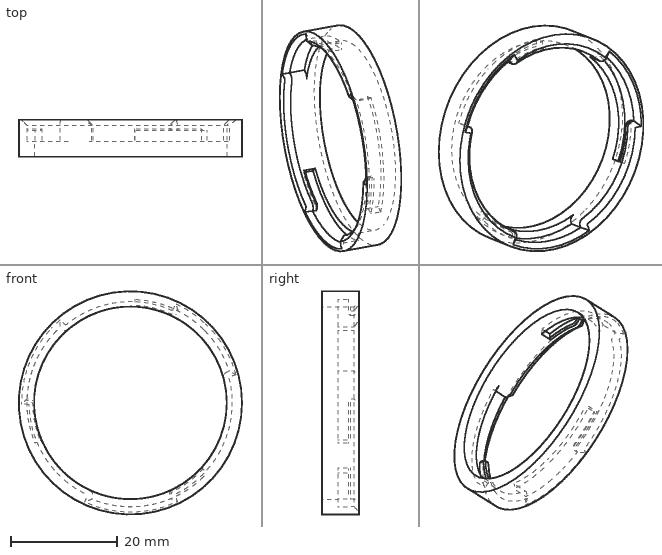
import cadquery as cq
import math

outer_diameter = 42.0
bore_diameter = 36.2
ring_width = 7.0
rear_chamfer = 1.0

pocket_depth = 1.4
front_lip_width = 3.0
groove_width = 2.0
corner_radius = 1.05
lug_edge_chamfer = 0.3
entry_angle = 44.8
lug_angle = 24.9
first_pocket_angle = -112.1
second_pocket_angle = 17.9
third_pocket_angle = (second_pocket_angle + first_pocket_angle + 360.0) / 2
pocket_start_angles = [first_pocket_angle, second_pocket_angle, third_pocket_angle]

outer_radius = outer_diameter / 2
bore_radius = bore_diameter / 2
floor_radius = bore_radius + pocket_depth
front_y = -ring_width / 2
rear_y = ring_width / 2
groove_front_y = front_y + front_lip_width
groove_rear_y = groove_front_y + groove_width

tolerance = 1e-3


def disc(radius, y_start, y_end):
    """Solid disc about the Y axis between two Y positions."""
    return (
        cq.Workplane("XZ", origin=(0, y_start, 0))
        .circle(radius)
        .extrude(y_start - y_end)
    )


def polar(radius, angle):
    """Point in the XZ plane at an angle measured from +X towards +Z."""
    return (radius * math.cos(math.radians(angle)), radius * math.sin(math.radians(angle)))


def sector(start_angle, end_angle, y_start, y_end):
    """Pie slice out to the pocket floor."""
    return (
        cq.Workplane("XZ", origin=(0, y_start, 0))
        .lineTo(*polar(floor_radius, start_angle))
        .threePointArc(
            polar(floor_radius, (start_angle + end_angle) / 2),
            polar(floor_radius, end_angle),
        )
        .close()
        .extrude(y_start - y_end)
    )


def rounded_corner(wall_angle, side, y_start, y_end):
    """Material removed to round the corner where a pocket wall meets the bore.

    side is +1 when the solid lies clockwise of the wall, -1 when anticlockwise.
    """
    center_radius = bore_radius + corner_radius
    offset = math.degrees(math.asin(corner_radius / center_radius))
    center_angle = wall_angle - side * offset
    wall_point = polar(center_radius * math.cos(math.radians(offset)), wall_angle)
    wedge = (
        cq.Workplane("XZ", origin=(0, y_start, 0))
        .polyline([(0, 0), polar(center_radius, center_angle), wall_point])
        .close()
        .extrude(y_start - y_end)
    )
    round_pin = (
        cq.Workplane("XZ", origin=(0, y_start, 0))
        .center(*polar(center_radius, center_angle))
        .circle(corner_radius)
        .extrude(y_start - y_end)
    )
    return wedge.cut(round_pin)


def pocket(start_angle):
    entry_end = start_angle + entry_angle
    groove_end = entry_end + lug_angle
    cutter = sector(start_angle, entry_end, groove_front_y, rear_y)
    cutter = cutter.union(sector(entry_end, groove_end, groove_front_y, groove_rear_y))
    cutter = cutter.union(rounded_corner(start_angle, 1, groove_front_y, rear_y))
    cutter = cutter.union(rounded_corner(entry_end, -1, groove_rear_y, rear_y))
    return cutter


def edge_end_radii(edge):
    """Distances of both ends of an edge from the Y axis."""
    return [math.hypot(point.x, point.z) for point in (edge.startPoint(), edge.endPoint())]


def chamfer_rear_mouth(ring):
    """Bevel every rear-face edge except the outer rim."""
    rim_limit = (floor_radius + outer_radius) / 2
    mouth_edges = ring.faces(">Y").edges().filter(lambda edge: max(edge_end_radii(edge)) < rim_limit)
    return mouth_edges.chamfer(rear_chamfer)


def chamfer_lug_edges(ring):
    """Bevel the groove-side edge of each lug along the bore.

    The bevel runs on round the lug's free end, where the edges are tangent.
    """
    lug_edges = ring.edges(
        cq.selectors.BoxSelector(
            (-outer_radius, groove_rear_y - tolerance, -outer_radius),
            (outer_radius, groove_rear_y + tolerance, outer_radius),
        )
    ).filter(lambda edge: max(edge_end_radii(edge)) < bore_radius + tolerance)
    return lug_edges.chamfer(lug_edge_chamfer)


ring = disc(outer_radius, front_y, rear_y).cut(disc(bore_radius, front_y, rear_y))
for start_angle in pocket_start_angles:
    ring = ring.cut(pocket(start_angle))
ring = chamfer_rear_mouth(ring)
result = chamfer_lug_edges(ring)